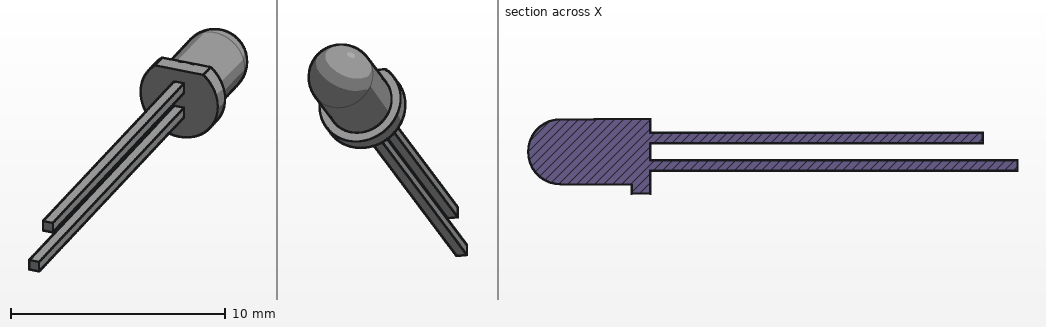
import cadquery as cq

total_length = 22.85
body_radius = 1.53
flange_radius = 1.97
flange_thickness = 0.87
body_length = 4.85
lead_width = 0.5
lead_spacing = 1.28
lead_difference = 1.62

barrel_length = body_length - body_radius
long_lead = total_length - body_length - flange_thickness
short_lead = long_lead - lead_difference


def make_lens():
    """Barrel ending in a hemisphere, revolved about the Y axis."""
    dome_middle = body_radius * 0.5 ** 0.5
    return (
        cq.Workplane("XY")
        .moveTo(0, flange_thickness)
        .lineTo(body_radius, flange_thickness)
        .lineTo(body_radius, flange_thickness + barrel_length)
        .threePointArc(
            (dome_middle, flange_thickness + barrel_length + dome_middle),
            (0, flange_thickness + body_length),
        )
        .close()
        .revolve(360, (0, 0, 0), (0, 1, 0))
    )


def make_flange():
    """Round flange cut flat on top, level with the barrel."""
    disc = cq.Workplane("XZ").circle(flange_radius).extrude(-flange_thickness)
    above_flat = (
        cq.Workplane("XY")
        .workplane(offset=body_radius)
        .rect(2 * flange_radius, 4 * flange_thickness)
        .extrude(flange_radius)
    )
    return disc.cut(above_flat)


def make_lead(height, length):
    """Square lead running from the flange underside towards -Y."""
    return (
        cq.Workplane("XZ")
        .center(0, height)
        .rect(lead_width, lead_width)
        .extrude(length)
    )


result = (
    make_flange()
    .union(make_lens())
    .union(make_lead(lead_spacing / 2, short_lead))
    .union(make_lead(-lead_spacing / 2, long_lead))
)